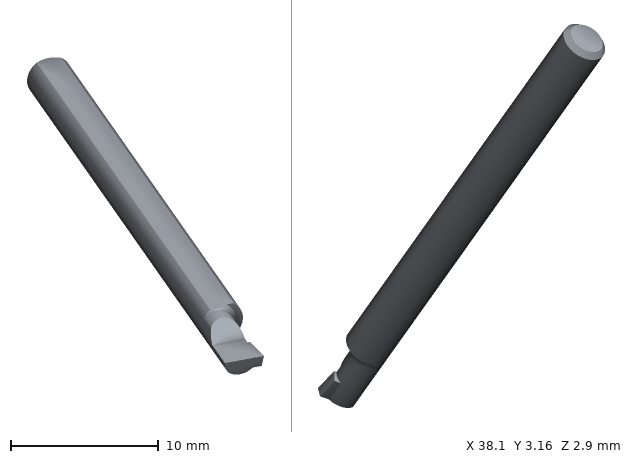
import cadquery as cq
import math

length = 38.1
shank_radius = 1.58
flat_height = 1.315
rear_chamfer = 0.4

shank_end = 33.1
shoulder = 0.35
neck_radius = 1.22
neck_offset = -0.45

rake_start = 35.6
wing_start = 36.1
wing_start_y = 0.95
tip_y = 1.2
wing_depth = 0.85
wing_overhang = 0.4
relief_angle = 7.0
end_slant = 2.0

clearance = 3.8


def make_shank():
    bar = cq.Workplane("YZ").circle(shank_radius).extrude(length)
    bar = bar.faces("<X").chamfer(rear_chamfer)
    flat = cq.Workplane("XY").box(
        length, clearance, clearance, centered=(False, True, False)
    )
    return bar.cut(flat.translate((0, 0, flat_height)))


def make_neck_cutter():
    """Sleeve around the neck axis, with the shoulder cone at its rear end."""
    axis_start = (0, neck_offset)
    axis_end = (1, neck_offset)
    neck_y = neck_offset + neck_radius
    return (
        cq.Workplane("XY")
        .moveTo(shank_end, neck_y + shoulder)
        .lineTo(shank_end + shoulder, neck_y)
        .lineTo(length + clearance, neck_y)
        .lineTo(length + clearance, neck_y + clearance)
        .lineTo(shank_end, neck_y + clearance)
        .close()
        .revolve(360, axis_start, axis_end)
    )


def make_wing():
    """Cutting edge that stands out sideways, relieved below the rake face."""
    slope = (tip_y - wing_start_y) / (length - wing_start)
    beyond_tip = length + wing_overhang
    beyond_y = wing_start_y + slope * (beyond_tip - wing_start)
    outline = [
        (wing_start, neck_offset),
        (wing_start, wing_start_y),
        (beyond_tip, beyond_y),
        (beyond_tip, neck_offset),
    ]
    return cq.Workplane("XY").polyline(outline).close().extrude(-wing_depth, taper=relief_angle)


def make_rake_cutter():
    """Everything above the rake face and its ramp."""
    outline = [
        (rake_start, 0),
        (length + clearance, 0),
        (length + clearance, clearance),
        (rake_start - clearance, clearance),
    ]
    return cq.Workplane("XZ").polyline(outline).close().extrude(clearance, both=True)


def make_end_cutter():
    """Relieved end face, leaning back below and away from the tip."""
    setback = clearance * math.tan(math.radians(relief_angle))
    outline = [
        (length - setback, -clearance),
        (length + setback, clearance),
        (length + clearance, clearance),
        (length + clearance, -clearance),
    ]
    profile = cq.Workplane("XZ", origin=(0, tip_y, 0)).polyline(outline).close()
    block = profile.extrude(clearance, both=True)
    return block.rotate((length, tip_y, 0), (length, tip_y, 1), -end_slant)


result = (
    make_shank()
    .cut(make_neck_cutter())
    .union(make_wing())
    .cut(make_rake_cutter())
    .cut(make_end_cutter())
)